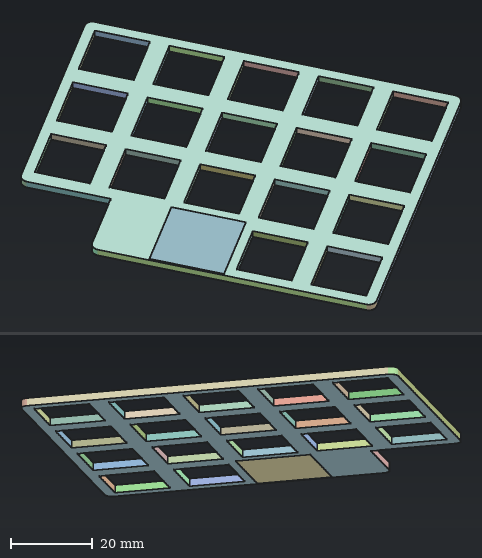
import cadquery as cq

LENGTH = 96.0
WIDTH = 77.0
THICKNESS = 2.0
CORNER_RADIUS = 2.0

NOTCH_LENGTH = 23.4
NOTCH_WIDTH = 18.1

COLUMNS = 5
ROWS = 4
PITCH = 19.0
OPENING = 14.0

FRONT_ROW_FIRST_OPENING = 3

INSERT_COLUMN = 2
INSERT_SIZE = PITCH


def cell_center(column, row):
    """Centre of a grid cell, counted from the left and from the front."""
    x = (column - (COLUMNS - 1) / 2) * PITCH
    y = (row - (ROWS - 1) / 2) * PITCH
    return x, y


def make_outline():
    """Plate blank with a sharp inner notch corner and rounded outer corners."""
    left = -LENGTH / 2
    right = LENGTH / 2
    front = -WIDTH / 2
    back = WIDTH / 2
    notch_x = left + NOTCH_LENGTH
    notch_y = front + NOTCH_WIDTH
    blank = (
        cq.Workplane("XY")
        .moveTo(left, back)
        .lineTo(right, back)
        .lineTo(right, front)
        .lineTo(notch_x, front)
        .lineTo(notch_x, notch_y)
        .lineTo(left, notch_y)
        .close()
        .extrude(THICKNESS)
    )
    inner_corner = cq.selectors.NearestToPointSelector((notch_x, notch_y, THICKNESS / 2))
    outer_corners = cq.selectors.StringSyntaxSelector("|Z") - inner_corner
    return blank.edges(outer_corners).fillet(CORNER_RADIUS)


def square_block(centers, size):
    """Square prisms of full plate thickness at the given centres."""
    return cq.Workplane("XY").pushPoints(centers).rect(size, size).extrude(THICKNESS)


def make_plate():
    """Key plate with its openings and the square hole for the insert."""
    opening_centers = [
        cell_center(column, row)
        for row in range(ROWS)
        for column in range(COLUMNS)
        if row > 0 or column >= FRONT_ROW_FIRST_OPENING
    ]
    plate = make_outline().cut(square_block(opening_centers, OPENING))
    return plate.cut(make_insert())


def make_insert():
    """Square filler that passes through the full plate thickness."""
    return square_block([cell_center(INSERT_COLUMN, 0)], INSERT_SIZE)


plate = make_plate()
insert = make_insert()
result = cq.Compound.makeCompound([plate.val(), insert.val()])